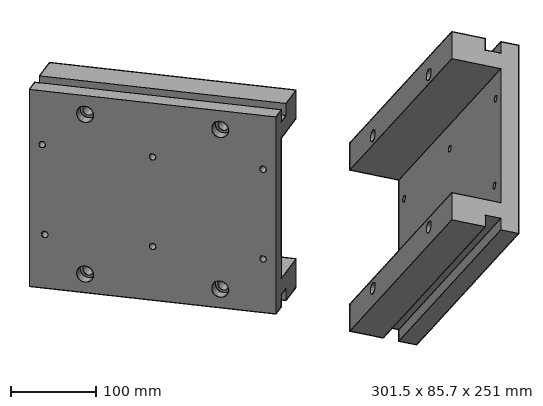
import cadquery as cq

length = 301.5
depth = 85.7
height = 251.0

plate_thickness = 23.0
leg_thickness = 36.2
groove_width = 20.0
groove_depth = 15.5

bolt_spacing_x = 165.3
bolt_spacing_z = 203.3
bolt_diameter = 14.2
counterbore_diameter = 20.5
counterbore_depth = 15.0

pin_diameter = 7.8
pin_offset_x = 135.0
lower_left_pin_offset_x = 131.8
pin_offset_z = 57.0

front_y = -depth / 2
leg_length = depth - plate_thickness


def drill(diameter, hole_depth, positions):
    """Cylinders running from the plate face in +Y at (x, z) positions."""
    face = cq.Workplane("XZ", origin=(0, front_y, 0))
    return face.pushPoints(positions).circle(diameter / 2).extrude(-hole_depth)


body = cq.Workplane("XY").box(length, depth, height)
opening = cq.Workplane("XY").box(length, leg_length, height - 2 * leg_thickness)
body = body.cut(opening.translate((0, plate_thickness / 2, 0)))

groove_y = front_y + plate_thickness + groove_width / 2
groove = cq.Workplane("XY").box(length, groove_width, groove_depth)
for side in (-1, 1):
    groove_z = side * (height - groove_depth) / 2
    body = body.cut(groove.translate((0, groove_y, groove_z)))

bolt_positions = [
    (side_x * bolt_spacing_x / 2, side_z * bolt_spacing_z / 2)
    for side_x in (-1, 1)
    for side_z in (-1, 1)
]
body = body.cut(drill(bolt_diameter, depth, bolt_positions))
body = body.cut(drill(counterbore_diameter, counterbore_depth, bolt_positions))

pin_positions = [
    (-pin_offset_x, pin_offset_z),
    (0, pin_offset_z),
    (pin_offset_x, pin_offset_z),
    (-lower_left_pin_offset_x, -pin_offset_z),
    (0, -pin_offset_z),
    (pin_offset_x, -pin_offset_z),
]
result = body.cut(drill(pin_diameter, plate_thickness, pin_positions))